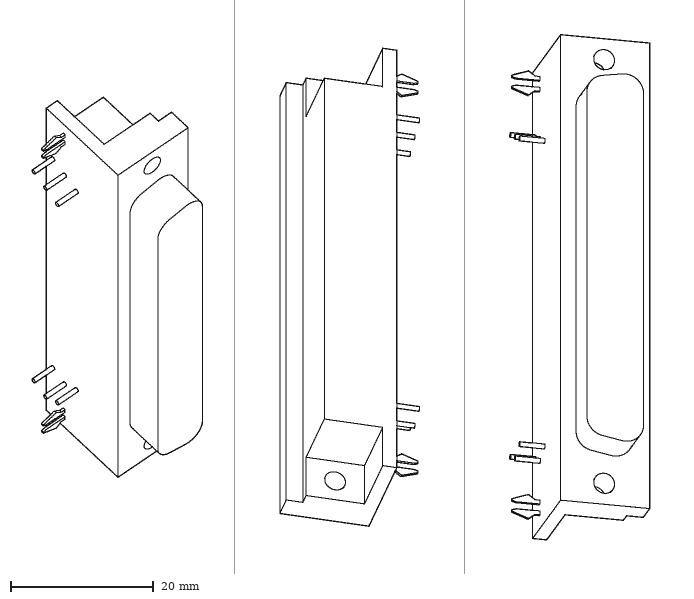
import cadquery as cq
import math

body_length = 69.8
body_depth = 15.5
body_height = 10.5
flange_thickness = 3.6
flange_height = 12.9

pocket_depth = 10.1
pocket_length = 6.4
floor_thickness = 2.05

mount_spacing = 63.5
mount_y = 6.3
mount_diameter = 3.0

shell_projection = 6.0
shell_length = 55.05
shell_height = 8.2
shell_center_y = 6.33
shell_angle = math.radians(10)
shell_corner_radius = 2.68

pin_diameter = 0.7
pin_length = 3.6
row_pitch = 2.54
first_row_x = 1.5
pin_stagger = 1.21
top_pin_z = 24.7
bottom_pin_z = -24.75
top_pin_steps = (0, 1, 2)
bottom_pin_steps = (1, 0, 1)

prong_thickness = 0.4
prong_x = 3.7
prong_length = 4.03
prong_inner = 0.52
prong_outer = 1.1
barb_outer = 1.8
barb_start = 0.7
barb_peak = 1.65
tip_inner = 0.7
tip_outer = 0.95
tip_chamfer = 0.6


def make_body():
    """Stepped profile extruded along Z, with a pocket cut into each end."""
    flange_x = body_depth - flange_thickness
    body = (
        cq.Workplane("XY")
        .moveTo(0, 0)
        .lineTo(body_depth, 0)
        .lineTo(body_depth, flange_height)
        .lineTo(flange_x, flange_height)
        .lineTo(flange_x, body_height)
        .lineTo(0, body_height)
        .close()
        .extrude(body_length / 2, both=True)
    )
    pocket_height = body_height - floor_thickness
    for end in (-1, 1):
        pocket = cq.Workplane("XY").box(pocket_depth, pocket_height, pocket_length).translate((
            pocket_depth / 2,
            floor_thickness + pocket_height / 2,
            end * (body_length - pocket_length) / 2,
        ))
        body = body.cut(pocket)
    return body


def make_shell():
    """Rounded trapezoid projecting from the front face."""
    rounding_loss = shell_corner_radius * (
        math.tan(math.pi / 4 + shell_angle / 2) - 1
    )
    wide_half = shell_length / 2 + rounding_loss
    narrow_half = wide_half - shell_height * math.tan(shell_angle)
    wide_y = shell_center_y + shell_height / 2
    narrow_y = shell_center_y - shell_height / 2
    return (
        cq.Workplane("YZ", origin=(body_depth, 0, 0))
        .moveTo(wide_y, -wide_half)
        .lineTo(wide_y, wide_half)
        .lineTo(narrow_y, narrow_half)
        .lineTo(narrow_y, -narrow_half)
        .close()
        .extrude(shell_projection)
        .edges("|X")
        .fillet(shell_corner_radius)
    )


def make_mount_hole(z):
    """Cutter for a hole through the front wall."""
    return (
        cq.Workplane("YZ", origin=(0, mount_y, z))
        .circle(mount_diameter / 2)
        .extrude(body_depth)
    )


def make_pin(x, z):
    """Round solder pin pointing towards -Y."""
    return (
        cq.Workplane("XZ", origin=(x, 0, z))
        .circle(pin_diameter / 2)
        .extrude(pin_length)
    )


def make_prong(z, side):
    """Barbed blade on one side (+1 or -1) of the height z."""
    profile = [
        (0, prong_inner),
        (0, prong_outer),
        (-barb_start, prong_outer),
        (-barb_peak, barb_outer),
        (-prong_length, tip_outer),
        (-prong_length, tip_inner),
        (-prong_length + tip_chamfer, prong_inner),
    ]
    points = [(y, side * offset) for y, offset in profile]
    return (
        cq.Workplane("YZ", origin=(prong_x, 0, z))
        .polyline(points)
        .close()
        .extrude(prong_thickness)
    )


result = make_body().union(make_shell())

for mount_z in (-mount_spacing / 2, mount_spacing / 2):
    result = result.cut(make_mount_hole(mount_z))
    for prong_side in (-1, 1):
        result = result.union(make_prong(mount_z, prong_side))

for row in range(len(top_pin_steps)):
    row_x = first_row_x + row * row_pitch
    result = result.union(make_pin(row_x, top_pin_z - top_pin_steps[row] * pin_stagger))
    result = result.union(make_pin(row_x, bottom_pin_z + bottom_pin_steps[row] * pin_stagger))